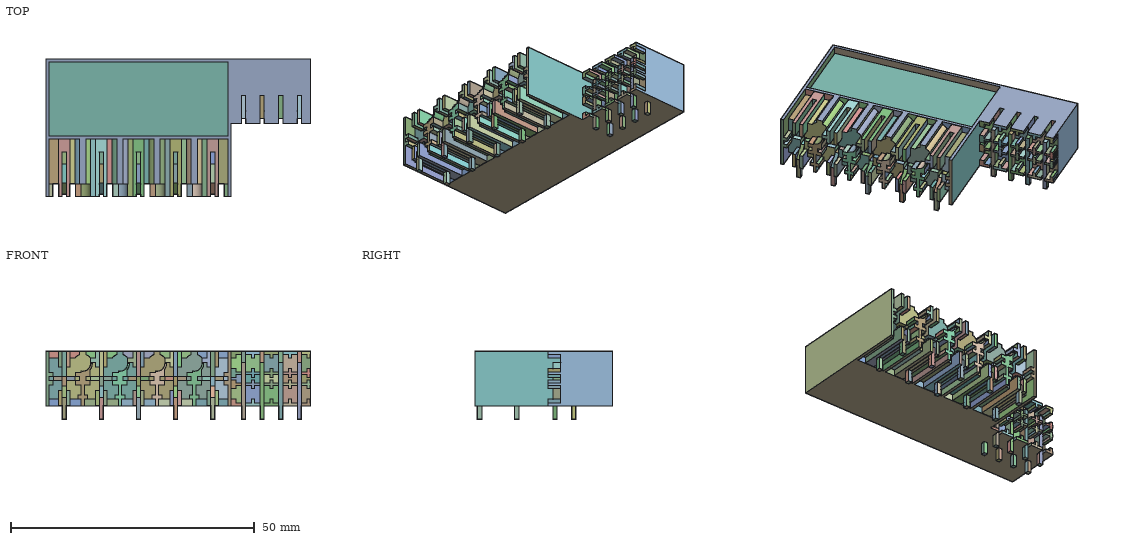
import cadquery as cq

total_length = 54.31
total_depth = 28.3
total_height = 14.0
housing_height = 11.3
pin_length = total_height - housing_height
mid_height = housing_height / 2
wall = 0.66

power_length = 38.0
power_pitch = 7.62
power_count = 5
first_power_x = (power_length - (power_count - 1) * power_pitch) / 2
power_contact_xs = [first_power_x + i * power_pitch for i in range(power_count)]
post_xs = [x + power_pitch / 2 for x in power_contact_xs[:-1]]
comb_back = 11.8
core_front = 2.63
core_height = 8.4
core_bottom = mid_height - core_height / 2
core_top = mid_height + core_height / 2
recess_depth = 1.55

tower_width = 2.32
tower_height = 3.15
tower_setback = 0.1
slot_width = 0.85
slot_end = 9.15
groove_height = 0.8
groove_width = 4.4
groove_bottom = mid_height - groove_height / 2
groove_top = mid_height + groove_height / 2

blade_front = 0.5
blade_step_y = 6.68
blade_slope_y = 2.77
blade_mid_z = 4.1
blade_front_z = 1.8
power_pin_width = 1.0
power_pin_spacing = 7.62

post_width = 3.0
post_height = 2.5
post_bottom = mid_height - post_height / 2
post_top = mid_height + post_height / 2
post_web = 1.27
stem_width = 0.64
foot_width = 2.0
foot_top = 2.3
barrel_z = 8.75
barrel_radius = 1.95
cradle_radius = 1.58
bar_height = 0.85

signal_front = 15.0
signal_core_front = signal_front + core_front
signal_pitch = 3.81
signal_count = 4
first_signal_offset = 2.56
first_signal_x = power_length + first_signal_offset
signal_contact_xs = [first_signal_x + i * signal_pitch for i in range(signal_count)]
signal_slot_end = 20.75
signal_blade_front = 16.0
signal_blade_top = 9.0
signal_pin_width = 0.9
plate_thickness = 0.66
shelf_thickness = 0.5
shelf_gap = 1.8
nub_width = 0.66
nub_height = 0.66
outer_nub_height = core_bottom - plate_thickness


def block(x0, x1, y0, y1, z0, z1):
    """Box between two opposite corners."""
    return cq.Workplane("XY").box(x1 - x0, y1 - y0, z1 - z0, centered=False).translate((x0, y0, z0))


def centered_block(x, width, y0, y1, z0, z1):
    """Box centred on x."""
    return block(x - width / 2, x + width / 2, y0, y1, z0, z1)


def rod(x, z, radius, y0, y1):
    """Cylinder along Y."""
    return cq.Workplane("XZ").center(x, z).circle(radius).extrude(y0 - y1).translate((0, y0, 0))


def power_housing():
    """Tray, side walls and core of the power section, with its towers and posts."""
    body = block(0, power_length, comb_back, total_depth, 0, housing_height)
    body = body.cut(
        block(
            wall,
            power_length - wall,
            comb_back + wall,
            total_depth - wall,
            housing_height - recess_depth,
            housing_height,
        )
    )
    body = body.union(block(0, power_length, core_front, comb_back, core_bottom, core_top))
    for x in (0, power_length - wall):
        body = body.union(block(x, x + wall, 0, comb_back, 0, housing_height))
    for x in (power_contact_xs[0] - power_pitch / 2, power_contact_xs[-1] + power_pitch / 2):
        body = body.union(end_post(x))
    for x in power_contact_xs:
        body = body.union(tower(x))
    for x in post_xs:
        for part in post_parts(x):
            body = body.union(part)
    for left, right in groove_spans():
        body = body.cut(block(left, right, 0, core_front, groove_bottom, groove_top))
    for x in power_contact_xs:
        body = body.cut(centered_block(x, groove_width, 0, slot_end, groove_bottom, groove_top))
        body = body.cut(centered_block(x, slot_width, 0, slot_end, 0, housing_height))
    return body


def end_post(x):
    """Post at an end wall, trimmed to the part that lies inside the housing."""
    full = centered_block(x, post_width, 0, core_front, post_bottom, post_top)
    return full.intersect(block(0, power_length, 0, core_front, 0, housing_height))


def tower(x):
    """Upper and lower guide towers of one power contact."""
    low = tower_setback
    high = housing_height - tower_setback
    lower = centered_block(x, tower_width, 0, comb_back, low, low + tower_height)
    upper = centered_block(x, tower_width, 0, comb_back, high - tower_height, high)
    return lower.union(upper)


def post_parts(x):
    """Post, stem, foot, barrel, top rib and the cradle that opens in front of the barrel."""
    return [
        centered_block(x, post_width, 0, core_front, post_bottom, post_top),
        centered_block(x, stem_width, 0, comb_back, 0, post_bottom),
        centered_block(x, foot_width, 0, core_front, core_bottom, foot_top),
        rod(x, barrel_z, barrel_radius, core_front, comb_back),
        centered_block(x, post_web, core_front, comb_back, barrel_z, housing_height),
        cradle(x),
    ]


def cradle(x):
    """Quarter shell with its support below and a bar to the next tower."""
    left = x - stem_width / 2
    shell = rod(x, barrel_z, barrel_radius, 0, core_front)
    shell = shell.intersect(block(left, x + barrel_radius, 0, core_front, 0, barrel_z))
    support = block(left, x + post_width / 2, 0, core_front, post_top, barrel_z)
    next_tower = x + (power_pitch - tower_width) / 2
    bar = block(x, next_tower, 0, core_front, core_top - bar_height, core_top)
    bore = rod(x, barrel_z, cradle_radius, 0, core_front)
    bore = bore.union(centered_block(x, 2 * cradle_radius, 0, core_front, barrel_z, core_top))
    return shell.union(support).union(bar).cut(bore)


def groove_spans():
    """X ranges of the horizontal grooves, one per contact, between the webs of the posts."""
    starts = [wall] + [x + post_web / 2 for x in post_xs]
    ends = [x - post_web / 2 for x in post_xs] + [power_length - wall]
    return zip(starts, ends)


def power_blade(x):
    """Stepped, chamfered blade of a power contact with two pins."""
    profile = [
        (blade_front, 0),
        (blade_front, blade_front_z),
        (blade_slope_y, blade_mid_z),
        (blade_step_y, blade_mid_z),
        (blade_step_y, groove_top),
        (slot_end, groove_top),
        (slot_end, 0),
    ]
    blade = cq.Workplane("YZ").polyline(profile).close().extrude(slot_width)
    blade = blade.translate((x - slot_width / 2, 0, 0))
    for y in (blade_front, blade_front + power_pin_spacing):
        blade = blade.union(centered_block(x, slot_width, y, y + power_pin_width, -pin_length, 0))
    return blade


def signal_plate(bottom, thickness, nub_below, nub_above):
    """Plate across the signal section with nubs of the given heights below and above it."""
    top = bottom + thickness
    plate = block(power_length, total_length, signal_front, signal_core_front, bottom, top)
    for i in range(signal_count + 1):
        x = first_signal_x + (i - 0.5) * signal_pitch
        left = x - nub_width / 2
        if i == 0:
            left = power_length
        right = min(x + nub_width / 2, total_length)
        nub = block(left, right, signal_front, signal_core_front, bottom - nub_below, top + nub_above)
        plate = plate.union(nub)
    return plate


def signal_housing():
    """Solid core with four nubbed plates in front, slotted for the signal blades."""
    shelf_low = mid_height - shelf_gap / 2 - shelf_thickness
    shelf_high = mid_height + shelf_gap / 2
    top_plate = housing_height - plate_thickness
    body = block(power_length, total_length, signal_core_front, total_depth, 0, housing_height)
    body = body.union(signal_plate(0, plate_thickness, 0, outer_nub_height))
    body = body.union(signal_plate(shelf_low, shelf_thickness, nub_height, nub_height))
    body = body.union(signal_plate(shelf_high, shelf_thickness, nub_height, nub_height))
    body = body.union(signal_plate(top_plate, plate_thickness, outer_nub_height, 0))
    for x in signal_contact_xs:
        body = body.cut(centered_block(x, slot_width, signal_front, signal_slot_end, 0, housing_height))
    return body


def signal_blade(x):
    """Plain blade of a signal contact with two pins."""
    blade = centered_block(x, slot_width, signal_blade_front, signal_slot_end, 0, signal_blade_top)
    for y in (signal_blade_front, signal_slot_end - signal_pin_width):
        blade = blade.union(centered_block(x, slot_width, y, y + signal_pin_width, -pin_length, 0))
    return blade


result = power_housing().union(signal_housing())
for contact_x in power_contact_xs:
    result = result.union(power_blade(contact_x))
for contact_x in signal_contact_xs:
    result = result.union(signal_blade(contact_x))